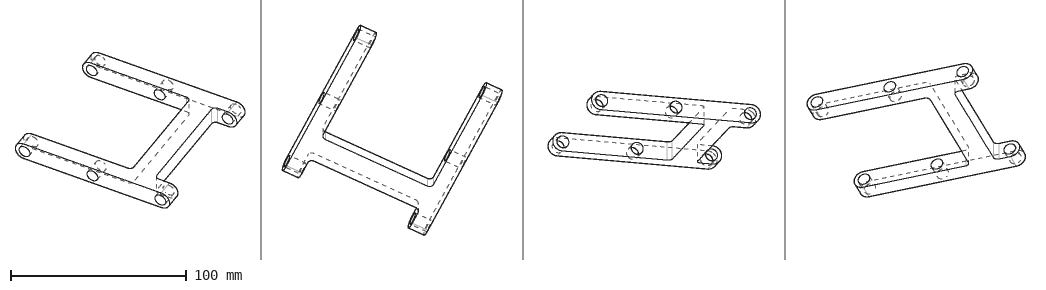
import cadquery as cq

length = 100.0
width = 90.0
height = 11.0

arm_thickness = 10.0
hole_diameter = 7.0
hole_spacing = 44.0

crossbar_width = 15.0
crossbar_setback = 15.0
corner_radius = 2.5

crossbar_x = length / 2 - crossbar_setback - crossbar_width / 2
arm_offset = (width - arm_thickness) / 2


def make_arm(y_center):
    """Rounded bar along X, centered at the given Y."""
    return (
        cq.Workplane("XZ", origin=(0, y_center, 0))
        .slot2D(length, height)
        .extrude(arm_thickness / 2, both=True)
    )


crossbar = cq.Workplane("XY").center(crossbar_x, 0).box(crossbar_width, 2 * arm_offset, height)
frame = make_arm(arm_offset).union(make_arm(-arm_offset)).union(crossbar)

frame = frame.edges("|Z").fillet(corner_radius)

holes = (
    cq.Workplane("XZ")
    .pushPoints([(-hole_spacing, 0), (0, 0), (hole_spacing, 0)])
    .circle(hole_diameter / 2)
    .extrude(width, both=True)
)
result = frame.cut(holes)